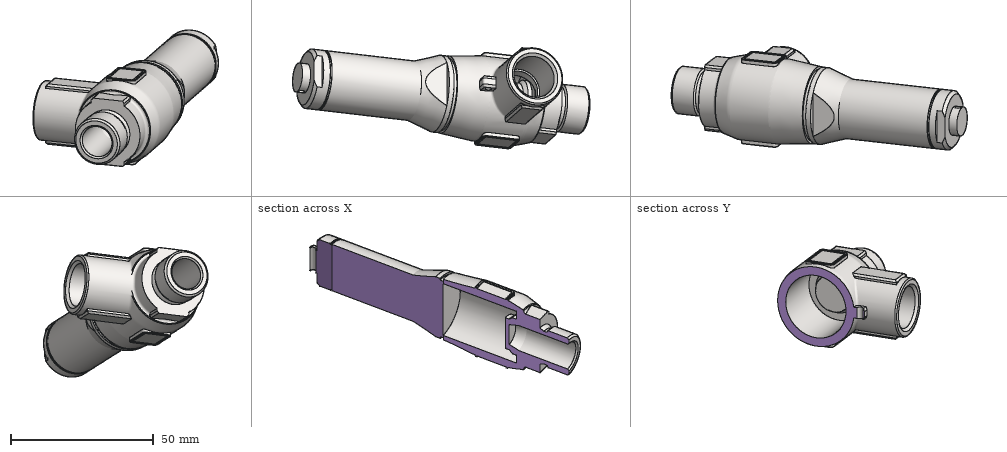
import cadquery as cq


inlet_end = -28.6
thread_rear = -20.0
neck_front = -19.5
neck_rear = -18.3
wrench_front = -16.7
shell_front = -10.1
shell_front_cone = -5.1
shell_cylinder_front = -3.8
shell_cylinder_rear = 10.5
shell_rear_cone = 11.1
shell_rear = 22.85
groove_rear = 24.1
collar_rear = 25.9
tube_front = 35.15
tube_rear = 68.4
cap_front = 69.0
cap_flat_front = 71.55
cap_rear = 74.5
knob_rear = 77.5

thread_radius = 8.4
thread_chamfer = 0.7
neck_front_radius = 7.6
neck_rear_radius = 7.35
neck_flare_radius = 8.2
wrench_radius = 11.95
wrench_flat_height = 12.0
wrench_pad_half_width = 6.1
wrench_pad_bevel_width = 0.6
wrench_pad_bevel_depth = 0.8
wrench_fillet = 1.0
shell_radius = 15.0
shell_front_cone_radius = 14.82
shell_rear_cone_radius = 14.96
shell_front_radius = 13.5
shell_front_chamfer = 0.3
shell_rear_radius = 13.65

outlet_end = -30.0
outlet_radius = 10.5
outlet_chamfer = 0.5
outlet_blend_radius = 0.8
outlet_mouth_radius = 8.45
outlet_bore_radius = 7.5
outlet_bore_end = -14.0
outlet_port_radius = 6.8
outlet_port_end = -8.7

chamber_radius = 11.5
chamber_floor = -6.9
seat_radius = 7.0
seat_foot_radius = 8.2
seat_top = -2.5
seat_rim_front = -4.1
seat_foot_rear = -5.4

inlet_mouth_radius = 6.1
inlet_bore_radius = 5.5
inlet_cone_radius = 4.35
inlet_cone_front = -8.0
inlet_floor = -4.1

badge_width = 10.7
badge_front = -3.6
badge_rear = 10.0
badge_height = 15.5
badge_corner_radius = 1.4
badge_bevel = 0.25
badge_rim = 0.9
badge_recess_depth = 0.3

label_start = -27.3
label_end = -9.0
label_half_width = 4.3
label_height = 11.1
label_bevel = 0.75

lug_left = -18.85
lug_right = -13.0
lug_front = 9.0
lug_rear = 15.1
lug_half_thickness = 2.1
lug_corner_radius = 0.7
lug_bevel_thickness = 1.0
lug_bevel_depth = 0.5
lug_hole_x = -17.0
lug_hole_y = 12.6
seal_hole_diameter = 2.2

groove_radius = 12.8
collar_radius = 13.55
tube_radius = 10.5
bonnet_flat_offset = 10.95
cap_joint_radius = 10.2
cap_radius = tube_radius
cap_chamfer = 1.1
cap_flat_offset = 8.75
knob_radius = 5.15
knob_hole_y = 76.1


def turned(profile):
    """Solid of revolution about the valve axis of a closed (radius, y) outline."""
    return profile.close().revolve(360, (0, 0, 0), (0, 1, 0))


def block(x_range, y_range, z_range):
    """Axis-aligned box between the given limits."""
    size = [high - low for low, high in (x_range, y_range, z_range)]
    middle = [(high + low) / 2 for low, high in (x_range, y_range, z_range)]
    return cq.Workplane("XY").box(*size).translate(tuple(middle))


def cross_hole(x, y):
    """Drill for a sealing wire, parallel to Z."""
    return cq.Workplane("XY").center(x, y).circle(seal_hole_diameter / 2).extrude(shell_radius, both=True)


def mirrored_pair(pad):
    """The pad together with its copy on the opposite side of the XY plane."""
    return pad.union(pad.mirror("XY"))


def side_flats(offset, front, rear):
    """Material to remove for two flats facing -X and +X, at the given distance from the axis."""
    z_limits = (-shell_radius, shell_radius)
    right = block((offset, shell_radius), (front, rear), z_limits)
    return right.union(right.mirror("YZ"))


def housing_shell():
    """Turned outside of the housing, from the inlet thread to the joint with the bonnet."""
    profile = (
        cq.Workplane("XY")
        .moveTo(0, inlet_end)
        .lineTo(thread_radius - thread_chamfer, inlet_end)
        .lineTo(thread_radius, inlet_end + thread_chamfer)
        .lineTo(thread_radius, thread_rear)
        .lineTo(neck_front_radius, neck_front)
        .lineTo(neck_rear_radius, neck_rear)
        .lineTo(neck_flare_radius, wrench_front)
        .lineTo(wrench_radius, wrench_front)
        .lineTo(wrench_radius, shell_front - wrench_fillet)
        .radiusArc((wrench_radius + wrench_fillet, shell_front), wrench_fillet)
        .lineTo(shell_front_radius - shell_front_chamfer, shell_front)
        .lineTo(shell_front_radius, shell_front + shell_front_chamfer)
        .lineTo(shell_front_cone_radius, shell_front_cone)
        .tangentArcPoint((shell_radius, shell_cylinder_front), relative=False)
        .lineTo(shell_radius, shell_cylinder_rear)
        .tangentArcPoint((shell_rear_cone_radius, shell_rear_cone), relative=False)
        .lineTo(shell_rear_radius, shell_rear)
        .lineTo(0, shell_rear)
    )
    return turned(profile)


def wrench_pads():
    """Two opposite bevelled wrench flats on the inlet collar."""
    half_width = wrench_pad_half_width
    pad = block((-half_width, half_width), (wrench_front, shell_front), (0, wrench_flat_height))
    pad = pad.faces(">Z").edges("|Y").chamfer(wrench_pad_bevel_depth, wrench_pad_bevel_width)
    return mirrored_pair(pad)


def outlet_tube():
    """Outside of the outlet branch, reaching to the valve axis."""
    tube = cq.Workplane("YZ").workplane(offset=outlet_end).circle(outlet_radius).extrude(-outlet_end)
    return tube.faces("<X").chamfer(outlet_chamfer)


def blended_shell():
    """Housing shell and outlet branch, joined with a fillet along their intersection."""
    joined = housing_shell().union(outlet_tube())
    junction = cq.selectors.BoxSelector(
        (-shell_radius - outlet_blend_radius, -outlet_radius - outlet_blend_radius, -shell_radius),
        (-shell_radius / 2, shell_cylinder_rear, shell_radius),
    )
    return joined.edges(junction).edges("not %CIRCLE").fillet(outlet_blend_radius)


def badge_pads():
    """Raised rectangular badges with a shallow recessed field, on the top and bottom of the housing."""
    half_width = badge_width / 2
    pad = block((-half_width, half_width), (badge_front, badge_rear), (0, badge_height))
    pad = pad.edges("|Z").fillet(badge_corner_radius)
    pad = pad.faces(">Z").chamfer(badge_bevel)
    recess = block(
        (badge_rim - half_width, half_width - badge_rim),
        (badge_front + badge_rim, badge_rear - badge_rim),
        (badge_height - badge_recess_depth, badge_height),
    )
    recess = recess.edges("|Z").fillet(badge_corner_radius - badge_rim)
    return mirrored_pair(pad.cut(recess))


def label_pads():
    """Raised label fields along the top and bottom of the outlet branch."""
    pad = block((label_start, label_end), (-label_half_width, label_half_width), (0, label_height))
    return mirrored_pair(pad.faces(">Z").edges("not >X").chamfer(label_bevel))


def sealing_lug():
    """Lug in the corner between the outlet branch and the housing."""
    lug = block(
        (lug_left, lug_right),
        (lug_front, lug_rear),
        (-lug_half_thickness, lug_half_thickness),
    )
    lug = lug.edges("|Z").fillet(lug_corner_radius)
    return lug.faces("<Z or >Z").chamfer(lug_bevel_thickness, lug_bevel_depth)


def inlet_bore():
    """Blind inlet passage with a chamfered mouth and a tapered inner end."""
    mouth_chamfer = inlet_mouth_radius - inlet_bore_radius
    profile = (
        cq.Workplane("XY")
        .moveTo(0, inlet_end)
        .lineTo(inlet_mouth_radius, inlet_end)
        .lineTo(inlet_bore_radius, inlet_end + mouth_chamfer)
        .lineTo(inlet_bore_radius, inlet_cone_front)
        .lineTo(inlet_cone_radius, inlet_floor)
        .lineTo(0, inlet_floor)
    )
    return turned(profile)


def chamber():
    """Inner chamber around the raised seat."""
    profile = (
        cq.Workplane("XY")
        .moveTo(0, seat_top)
        .lineTo(seat_radius, seat_top)
        .lineTo(seat_radius, seat_rim_front)
        .lineTo(seat_foot_radius, seat_foot_rear)
        .lineTo(seat_foot_radius, chamber_floor)
        .lineTo(chamber_radius, chamber_floor)
        .lineTo(chamber_radius, shell_rear)
        .lineTo(0, shell_rear)
    )
    return turned(profile)


def outlet_bore():
    """Stepped outlet passage with a chamfered mouth, opening into the chamber."""
    mouth_chamfer = outlet_mouth_radius - outlet_bore_radius
    profile = (
        cq.Workplane("XY")
        .moveTo(outlet_end, 0)
        .lineTo(outlet_end, outlet_mouth_radius)
        .lineTo(outlet_end + mouth_chamfer, outlet_bore_radius)
        .lineTo(outlet_bore_end, outlet_bore_radius)
        .lineTo(outlet_bore_end, outlet_port_radius)
        .lineTo(outlet_port_end, outlet_port_radius)
        .lineTo(outlet_port_end, 0)
        .close()
    )
    return profile.revolve(360, (0, 0, 0), (1, 0, 0))


def make_housing():
    outside = (
        blended_shell()
        .union(wrench_pads())
        .union(badge_pads())
        .union(label_pads())
        .union(sealing_lug())
    )
    return (
        outside.cut(chamber())
        .cut(outlet_bore())
        .cut(inlet_bore())
        .cut(cross_hole(lug_hole_x, lug_hole_y))
    )


def make_bonnet():
    profile = (
        cq.Workplane("XY")
        .moveTo(0, shell_rear)
        .lineTo(groove_radius, shell_rear)
        .lineTo(groove_radius, groove_rear)
        .lineTo(collar_radius, groove_rear)
        .lineTo(collar_radius, collar_rear)
        .lineTo(tube_radius, tube_front)
        .lineTo(tube_radius, tube_rear)
        .lineTo(0, tube_rear)
    )
    return turned(profile).cut(side_flats(bonnet_flat_offset, collar_rear, tube_front))


def make_cap():
    profile = (
        cq.Workplane("XY")
        .moveTo(0, tube_rear)
        .lineTo(cap_joint_radius, tube_rear)
        .lineTo(cap_joint_radius, cap_front)
        .lineTo(cap_radius, cap_front)
        .lineTo(cap_radius, cap_rear - cap_chamfer)
        .lineTo(cap_radius - cap_chamfer, cap_rear)
        .lineTo(knob_radius, cap_rear)
        .lineTo(knob_radius, knob_rear)
        .lineTo(0, knob_rear)
    )
    cap = turned(profile).cut(side_flats(cap_flat_offset, cap_flat_front, cap_rear))
    return cap.cut(cross_hole(0, knob_hole_y))


housing = make_housing()
bonnet = make_bonnet()
cap = make_cap()
result = cq.Compound.makeCompound([housing.val(), bonnet.val(), cap.val()])